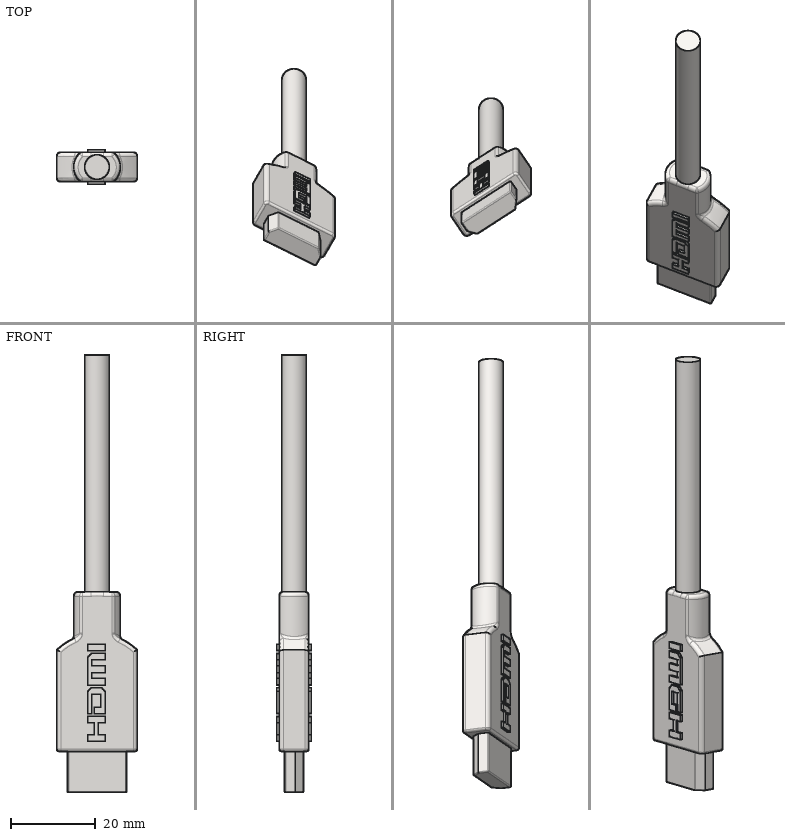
import cadquery as cq
import math

total_height = 103.0
total_thickness = 8.16

grip_width = 19.0
grip_thickness = 7.0
shoulder_start_z = 23.9
shoulder_mid = (7.6, 25.45)
shoulder_end = (3.5, 27.35)
neck_half_width = 5.5
neck_side_radius = 4.5
neck_top_z = 37.6
edge_radius = 1.0
junction_radius = 0.8
bottom_edge_radius = 0.6

cable_diameter = 5.8

plug_width = 14.0
plug_thickness = 4.5
plug_length = 9.6
plug_taper_start_y = 0.35
plug_taper_inset = 1.6
plug_edge_radius = 0.3

mark_min_x = -2.2
mark_max_x = 1.9
mark_stroke = 1.55
thin_stroke = 1.0
slot_width = 0.6
letter_corner = 0.9
letter_h_z = (2.4, 8.3)
letter_d_z = (8.9, 15.05)
letter_m_z = (15.65, 23.1)
letter_i_z = (23.75, 25.3)

pick_margin = 1.0


def make_slab():
    """Wide part of the grip, with an arc over each shoulder."""
    half_width = grip_width / 2
    mid_x, mid_z = shoulder_mid
    end_x, end_z = shoulder_end
    return (
        cq.Workplane("XZ")
        .moveTo(-half_width, 0)
        .lineTo(half_width, 0)
        .lineTo(half_width, shoulder_start_z)
        .threePointArc((mid_x, mid_z), (end_x, end_z))
        .lineTo(-end_x, end_z)
        .threePointArc((-mid_x, mid_z), (-half_width, shoulder_start_z))
        .close()
        .extrude(grip_thickness / 2, both=True)
    )


def make_neck():
    """Narrow part of the grip: flat front and back, bulging sides."""
    half_thickness = grip_thickness / 2
    side_centre_x = neck_half_width - neck_side_radius
    corner_x = side_centre_x + math.sqrt(neck_side_radius**2 - half_thickness**2)
    return (
        cq.Workplane("XY")
        .moveTo(-corner_x, -half_thickness)
        .lineTo(corner_x, -half_thickness)
        .threePointArc((neck_half_width, 0), (corner_x, half_thickness))
        .lineTo(-corner_x, half_thickness)
        .threePointArc((-neck_half_width, 0), (-corner_x, -half_thickness))
        .close()
        .extrude(neck_top_z)
    )


def make_cable():
    cable_top_z = total_height - plug_length
    return cq.Workplane("XY").circle(cable_diameter / 2).extrude(cable_top_z)


def pick_box(half_x, half_y, min_z, max_z):
    """Selector for everything centred in a box about the Z axis."""
    return cq.selectors.BoxSelector((-half_x, -half_y, min_z), (half_x, half_y, max_z))


def make_grip_with_cable():
    grip = make_slab().union(make_neck())

    junction = pick_box(
        neck_half_width + pick_margin,
        pick_margin,
        shoulder_start_z + pick_margin,
        shoulder_end[1] + pick_margin,
    )
    grip = grip.edges(junction).fillet(junction_radius)
    grip = grip.faces("<Y or >Y").edges("not(<Z or >Z)").fillet(edge_radius)

    grip = grip.union(make_cable())
    rim_min_z = neck_top_z - edge_radius / 2
    rim_max_z = neck_top_z + edge_radius / 2
    neck_top = pick_box(grip_width, grip_thickness, rim_min_z, rim_max_z)
    cable_circle = pick_box(pick_margin, pick_margin, rim_min_z, rim_max_z)
    grip = grip.edges(neck_top - cable_circle).fillet(edge_radius)

    return grip.faces("<Z").edges().fillet(bottom_edge_radius)


def make_plug():
    half_width = plug_width / 2
    half_thickness = plug_thickness / 2
    narrow_half_width = half_width - plug_taper_inset
    outline = [
        (-half_width, -half_thickness),
        (half_width, -half_thickness),
        (half_width, plug_taper_start_y),
        (narrow_half_width, half_thickness),
        (-narrow_half_width, half_thickness),
        (-half_width, plug_taper_start_y),
    ]
    plug = cq.Workplane("XY").polyline(outline).close().extrude(-plug_length)
    plug = plug.faces("<Y or >Y").edges("|Z").fillet(plug_edge_radius)
    return plug.faces("<Z").edges().fillet(plug_edge_radius)


def make_bar(min_x, max_x, min_z, max_z):
    """Bar of the raised mark, passing through the grip to stand proud of both faces."""
    centre = ((min_x + max_x) / 2, 0, (min_z + max_z) / 2)
    return cq.Workplane("XY").box(max_x - min_x, total_thickness, max_z - min_z).translate(centre)


def make_letter_h():
    bottom, top = letter_h_z
    middle_x = (mark_min_x + mark_max_x) / 2
    lower_leg = make_bar(mark_min_x, mark_max_x, bottom, bottom + mark_stroke)
    upper_leg = make_bar(mark_min_x, mark_max_x, top - mark_stroke, top)
    crossbar = make_bar(middle_x - thin_stroke / 2, middle_x + thin_stroke / 2, bottom, top)
    return lower_leg.union(crossbar).union(upper_leg)


def make_letter_d():
    bottom, top = letter_d_z
    inner_min_x = mark_min_x + thin_stroke
    inner_max_x = mark_max_x - thin_stroke
    outside = make_bar(mark_min_x, mark_max_x, bottom, top)
    outside = outside.faces(">Z").edges("|Y").chamfer(letter_corner)
    opening = make_bar(inner_min_x, inner_max_x, bottom + mark_stroke, top - mark_stroke)
    slot = make_bar(inner_min_x, inner_min_x + slot_width, bottom, bottom + mark_stroke)
    return outside.cut(opening).cut(slot)


def make_letter_m():
    bottom, top = letter_m_z
    leg_count = 3
    leg_pitch = (top - bottom - mark_stroke) / (leg_count - 1)
    letter = make_bar(mark_min_x, mark_min_x + thin_stroke, bottom, top)
    for leg in range(leg_count):
        leg_z = bottom + leg * leg_pitch
        letter = letter.union(make_bar(mark_min_x, mark_max_x, leg_z, leg_z + mark_stroke))
    return letter.faces(">Z").edges("|Y and <X").chamfer(letter_corner)


def make_letter_i():
    bottom, top = letter_i_z
    return make_bar(mark_min_x, mark_max_x, bottom, top)


result = make_grip_with_cable().union(make_plug())
for make_letter in (make_letter_h, make_letter_d, make_letter_m, make_letter_i):
    result = result.union(make_letter())